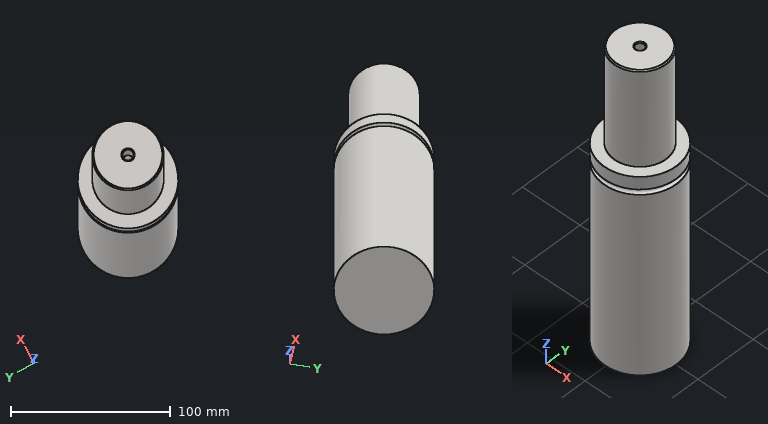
import cadquery as cq
import math

total_height = 255.0
body_diameter = 63.0
rod_diameter = 45.0

collar_top = 171.9
groove_center = 158.5
groove_radius = 2.3
groove_depth = 2.8
rod_chamfer = 1.0

hole_diameter = 7.0
hole_chamfer = 0.8
hole_depth = 20.5
drill_point_angle = 118.0

body_radius = body_diameter / 2
rod_radius = rod_diameter / 2
groove_arc_start = body_radius - groove_depth + groove_radius
hole_radius = hole_diameter / 2
drill_point_depth = hole_radius / math.tan(math.radians(drill_point_angle / 2))


def turned_body():
    """Revolve the half profile: body, round-bottomed groove, collar and chamfered rod."""
    profile = (
        cq.Workplane("XZ")
        .lineTo(body_radius, 0)
        .lineTo(body_radius, groove_center - groove_radius)
        .lineTo(groove_arc_start, groove_center - groove_radius)
        .threePointArc(
            (body_radius - groove_depth, groove_center),
            (groove_arc_start, groove_center + groove_radius),
        )
        .lineTo(body_radius, groove_center + groove_radius)
        .lineTo(body_radius, collar_top)
        .lineTo(rod_radius, collar_top)
        .lineTo(rod_radius, total_height - rod_chamfer)
        .lineTo(rod_radius - rod_chamfer, total_height)
        .lineTo(0, total_height)
        .close()
    )
    return profile.revolve(360, (0, 0, 0), (0, 1, 0))


def drilled_hole():
    """Cutter for the axial hole, with a chamfered mouth and ending in a cone."""
    hole_floor = total_height - hole_depth
    profile = (
        cq.Workplane("XZ")
        .moveTo(0, total_height)
        .lineTo(hole_radius + hole_chamfer, total_height)
        .lineTo(hole_radius, total_height - hole_chamfer)
        .lineTo(hole_radius, hole_floor)
        .lineTo(0, hole_floor - drill_point_depth)
        .close()
    )
    return profile.revolve(360, (0, 0, 0), (0, 1, 0))


result = turned_body().cut(drilled_hole())